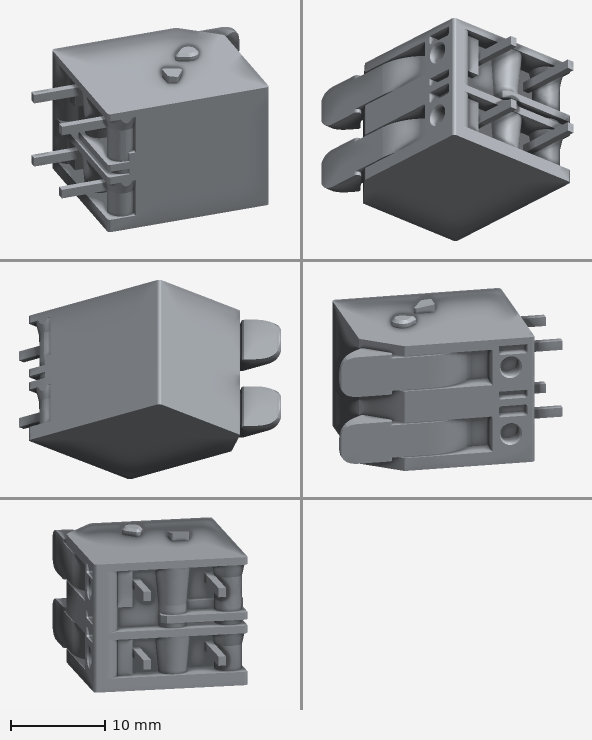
import cadquery as cq
import math


width = 16.7
front_y = 4.02
back_y = 22.4
height = 14.0
corner_radius = 0.35
bevel_x = 3.47
bevel_y = 18.22
bevel_edge_radius = 0.25

pitch = 7.5
pole_shifts = (0.0, pitch)
plate = 0.83
cell_floor = 1.47
cell_top = height - plate - pitch
upper_cell_floor = cell_floor + pitch
spacer_floor = cell_top + plate

cell_left = 1.4
wall_round = 1.4
step_x = 8.9
shallow_y = 6.02
deep_y = 7.15
spacer_y = 6.43
boss_right = 4.35
boss_y = 5.0

post_a_x = step_x
post_a_y = shallow_y
post_a_radius = 1.52
post_a_top_radius = 1.9
post_b_x = 14.98
post_b_y = 6.12
post_b_radius = 1.47
post_b_neck_x = 15.0
post_b_neck_radius = 1.5
post_b_top_radius = 1.82
post_b_neck_drop = 1.45

rib_bottom = 7.15
rib_thickness = 0.8
rib_lead_in = 0.53

pin_width = 0.8
pin_height = 1.0
pin_z = 3.77
pin_xs = (4.9, 13.03)
pin_embed = 0.75
pin_end_y = deep_y + pin_embed

hole_y = 6.65
hole_z = 3.3
hole_diameter = 2.1
hole_rim_diameter = 2.43
hole_rim_depth = 0.23
hole_depth = 1.77
windows = [
    (12.22, 13.23, "|X and <Z"),
    (7.24, 8.12, "|X and <Z"),
    (5.24, 6.48, "|X"),
]
window_start_y = 4.85
window_length = 3.05
window_depth = 1.37
window_radius = 0.23

lever_z = 3.42
slot_start_y = 8.65
slot_depth = 2.33
slot_width = 3.97
slot_radius = 0.2
neck_width = 3.62
neck_end_y = 10.47
dip_start_y = 15.4
dip_end_y = 10.8
dip_depth = 2.1
neck_top_left_y = 20.25
neck_top_right_y = 21.6
head_width = 4.45
head_x = 2.8
head_edge_low_y = 22.05
head_edge_high_y = 22.35
head_low_y = 18.75
head_low_radius = 0.43
tip_y = 25.3
tip_x = 0.25
tip_arc_left_y = 25.0
tip_arc_right = (0.53, 25.12)

nose_start_y = 23.33
nose_side_end = (24.45, 2.0)
nose_corner_middle = (24.82, 1.7)
nose_corner_end = (25.1, 1.32)

drop_x = 6.9
drop_y = 16.95
drop_radius = 1.1
drop_tip_x = 7.19
drop_tip_y = 15.74
drop_tip_radius = 0.38
drop_height = 0.8
drop_chamfer = 0.3
wedge_points = [(10.25, 14.78), (10.68, 14.78), (12.4, 13.64), (12.12, 12.6), (10.25, 12.6)]
wedge_radius = 0.2
wedge_low = 0.55
wedge_high = 0.9


def box(x0, x1, y0, y1, z0, z1):
    return cq.Workplane("XY").box(x1 - x0, y1 - y0, z1 - z0, centered=False).translate((x0, y0, z0))


def round_upright_edge(solid, x, y, z, radius):
    """Fillet the upright edge nearest to a point."""
    return solid.edges(cq.selectors.NearestToPointSelector((x, y, z))).fillet(radius)


def taper(y, low, high, z0, z1):
    """Round solid between two circles, each given as (centre x, radius)."""
    low_x, low_radius = low
    high_x, high_radius = high
    base = cq.Workplane("XY", origin=(low_x, y, z0)).circle(low_radius)
    return base.workplane(offset=z1 - z0).center(high_x - low_x, 0).circle(high_radius).loft()


def housing_block():
    """Solid housing with a bevelled corner below the levers."""
    outline = [(0, front_y), (width, front_y), (width, back_y), (bevel_x, back_y), (0, bevel_y)]
    block = cq.Workplane("XY").polyline(outline).close().extrude(height)
    for x, y in [(0, front_y), (width, front_y), (width, back_y)]:
        block = round_upright_edge(block, x, y, height / 2, corner_radius)
    for x, y in [(bevel_x, back_y), (0, bevel_y)]:
        block = round_upright_edge(block, x, y, height / 2, bevel_edge_radius)
    return block


def cell_space(z0, z1, right_wall_y):
    """Cell open at the front and right, with a quarter-round left wall and a stepped back wall."""
    round_y = front_y + wall_round
    round_x = cell_left + wall_round
    bulge = wall_round * math.sqrt(0.5)
    outline = (
        cq.Workplane("XY", origin=(0, 0, z0))
        .moveTo(cell_left, front_y)
        .threePointArc((cell_left + bulge, round_y - bulge), (round_x, round_y))
        .lineTo(round_x, shallow_y)
        .lineTo(step_x, shallow_y)
        .lineTo(step_x, right_wall_y)
        .lineTo(width, right_wall_y)
        .lineTo(width, front_y)
        .close()
    )
    return outline.extrude(z1 - z0)


def flared_posts(z0, z1, foot_z):
    """The two flared posts of one pole, the second one starting at its own foot level."""
    neck_z = z1 - post_b_neck_drop
    neck = (post_b_neck_x, post_b_neck_radius)
    post_a = taper(post_a_y, (post_a_x, post_a_radius), (post_a_x, post_a_top_radius), z0, z1)
    post_b = taper(post_b_y, (post_b_x, post_b_radius), neck, foot_z, neck_z)
    flare = taper(post_b_y, neck, (post_b_neck_x, post_b_top_radius), neck_z, z1)
    return post_a.union(post_b).union(flare)


def rib():
    left = post_a_x - post_a_radius
    outline = [
        (left, post_a_y),
        (left, front_y + rib_lead_in),
        (left + rib_lead_in, front_y),
        (width, front_y),
        (width, deep_y),
        (left, deep_y),
    ]
    return cq.Workplane("XY", origin=(0, 0, rib_bottom)).polyline(outline).close().extrude(rib_thickness)


def hollowed_housing():
    """Housing with its two pole cells and the spacer cell between them, including posts, bosses and rib."""
    block = housing_block()
    body = block
    post_a = (post_a_x, post_a_radius)
    fill = rib().union(taper(post_a_y, post_a, post_a, spacer_floor, upper_cell_floor))
    body = body.cut(cell_space(spacer_floor, upper_cell_floor, spacer_y))
    for shift, foot_z in zip(pole_shifts, (cell_floor, spacer_floor)):
        z0 = cell_floor + shift
        z1 = cell_top + shift
        body = body.cut(cell_space(z0, z1, deep_y))
        fill = fill.union(flared_posts(z0, z1, foot_z))
        fill = fill.union(box(cell_left + wall_round, boss_right, boss_y, deep_y, z0, z1))
    return body.union(fill.intersect(block))


def test_hole(z):
    bore = cq.Workplane("YZ", origin=(0, hole_y, z)).circle(hole_diameter / 2).extrude(hole_depth)
    rim = cq.Workplane("YZ", origin=(0, hole_y, z)).circle(hole_rim_diameter / 2)
    rim = rim.workplane(offset=hole_rim_depth).circle(hole_diameter / 2).loft()
    return bore.union(rim)


def window(z0, z1, rounded_edges):
    opening = box(0, window_depth, window_start_y, window_start_y + window_length, z0, z1)
    return opening.edges(rounded_edges).fillet(window_radius)


def lever_slot(z):
    slot = box(0, slot_depth, slot_start_y, back_y, z - slot_width / 2, z + slot_width / 2)
    return slot.edges("|X and >Z and <Y").fillet(slot_radius)


def lever_neck(z):
    """Part of the lever lying in the slot, with a rounded dip towards its lower end."""
    length = dip_start_y - dip_end_y
    radius = (length**2 + dip_depth**2) / (2 * dip_depth)
    half_angle = math.atan(dip_depth / length)
    middle = (radius * (1 - math.cos(half_angle)), dip_start_y - radius * math.sin(half_angle))
    neck = (
        cq.Workplane("XY", origin=(0, 0, z - neck_width / 2))
        .moveTo(slot_depth, neck_end_y)
        .lineTo(slot_depth, neck_top_right_y)
        .lineTo(0, neck_top_left_y)
        .lineTo(0, dip_start_y)
        .threePointArc(middle, (dip_depth, dip_end_y))
        .close()
    )
    return neck.extrude(neck_width)


def lever_head(z):
    """Finger piece: the side profile trimmed to a nose that is rounded in the YZ plane."""
    half = head_width / 2
    profile = (
        cq.Workplane("XY", origin=(0, 0, z - half))
        .moveTo(0, head_low_y)
        .lineTo(head_x, head_edge_low_y)
        .lineTo(head_x, head_edge_high_y)
        .lineTo(*tip_arc_right)
        .threePointArc((tip_x, tip_y), (0, tip_arc_left_y))
        .close()
        .extrude(head_width)
    )
    profile = round_upright_edge(profile, 0, head_low_y, z, head_low_radius)
    end_rise = tip_y - nose_corner_end[0]
    end_radius = (end_rise**2 + nose_corner_end[1] ** 2) / (2 * end_rise)
    end_half_angle = math.asin(nose_corner_end[1] / end_radius) / 2
    nose_end_middle = (
        tip_y - end_radius * (1 - math.cos(end_half_angle)),
        end_radius * math.sin(end_half_angle),
    )
    nose = (
        cq.Workplane("YZ", origin=(0, 0, z))
        .moveTo(head_low_y, 0)
        .lineTo(head_low_y, half)
        .lineTo(nose_start_y, half)
        .tangentArcPoint(nose_side_end, relative=False)
        .threePointArc(nose_corner_middle, nose_corner_end)
        .threePointArc(nose_end_middle, (tip_y, 0))
        .mirrorX()
        .extrude(head_x)
    )
    return profile.intersect(nose)


def solder_pin(x, z):
    half_width = pin_width / 2
    half_height = pin_height / 2
    return box(x - half_width, x + half_width, 0, pin_end_y, z - half_height, z + half_height)


def drop_mark():
    """Teardrop: two circles joined by their outer tangents, chamfered at the top."""
    dx = drop_tip_x - drop_x
    dy = drop_tip_y - drop_y
    axis = math.atan2(dy, dx)
    spread = math.acos((drop_radius - drop_tip_radius) / math.hypot(dx, dy))

    def on_big(angle):
        return (drop_x + drop_radius * math.cos(angle), drop_y + drop_radius * math.sin(angle))

    def on_tip(angle):
        x = drop_tip_x + drop_tip_radius * math.cos(angle)
        y = drop_tip_y + drop_tip_radius * math.sin(angle)
        return (x, y)

    mark = (
        cq.Workplane("XY", origin=(0, 0, height))
        .moveTo(*on_big(axis + spread))
        .threePointArc(on_big(axis + math.pi), on_big(axis - spread))
        .lineTo(*on_tip(axis - spread))
        .threePointArc(on_tip(axis), on_tip(axis + spread))
        .close()
        .extrude(drop_height)
    )
    return mark.faces(">Z").chamfer(drop_chamfer)


def wedge_mark():
    """Five-sided mark whose top rises towards the front."""
    mark = cq.Workplane("XY", origin=(0, 0, height)).polyline(wedge_points).close().extrude(wedge_high)
    mark = mark.edges("|Z").fillet(wedge_radius)
    far_y = wedge_points[0][1]
    near_y = wedge_points[-1][1]
    side = [
        (near_y, height),
        (far_y, height),
        (far_y, height + wedge_low),
        (near_y, height + wedge_high),
    ]
    slope = cq.Workplane("YZ").polyline(side).close().extrude(width)
    return mark.intersect(slope)


body = hollowed_housing()

for z0, z1, rounded_edges in windows:
    body = body.cut(window(z0, z1, rounded_edges))

for shift in pole_shifts:
    body = body.cut(test_hole(hole_z + shift))
    body = body.cut(lever_slot(lever_z + shift))
    body = body.union(lever_neck(lever_z + shift))
    body = body.union(lever_head(lever_z + shift))
    for x in pin_xs:
        body = body.union(solder_pin(x, pin_z + shift))

result = body.union(drop_mark()).union(wedge_mark())